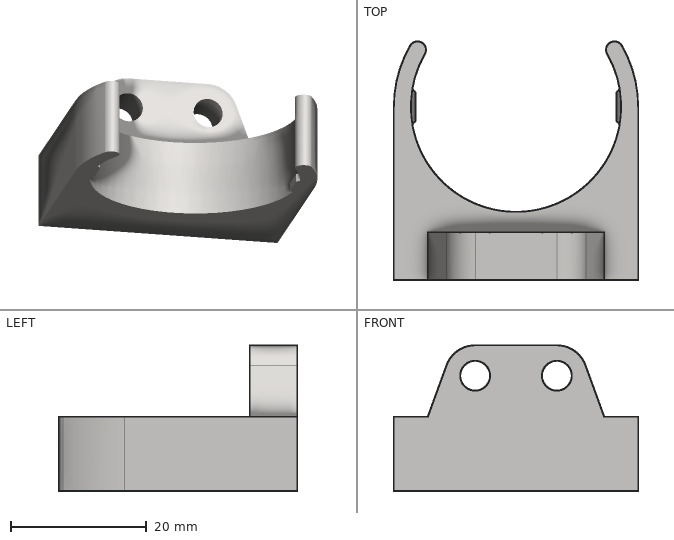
import cadquery as cq
import math

width = 36.0
clip_height = 10.98
outer_radius = width / 2
bore_radius = 15.48
total_depth = 35.15
arm_angle = math.radians(30)
arm_thickness = outer_radius - bore_radius
tip_radius = arm_thickness / 2
tip_path_radius = bore_radius + tip_radius
bore_y = total_depth - tip_radius - tip_path_radius * math.sin(arm_angle)

total_height = 21.5
tab_thickness = 7.02
tab_corner_radius = 4.5
side_lean = math.radians(20)
hole_spacing = 12.02
hole_diameter = 4.35

pad_face_x = 14.75
pad_face_length = 4.18
pad_embed = 0.55
pad_height = 1.2


def polar(radius, angle):
    """Point at a radius and angle about the bore centre."""
    return radius * math.cos(angle), bore_y + radius * math.sin(angle)


def mirrored(point):
    """Point reflected in the plane X = 0."""
    return -point[0], point[1]


def make_clip():
    outer_mid = polar(outer_radius, arm_angle / 2)
    outer_end = polar(outer_radius, arm_angle)
    inner_end = polar(bore_radius, arm_angle)
    tip_x, tip_y = polar(tip_path_radius, arm_angle)
    tip = (tip_x - tip_radius * math.sin(arm_angle), tip_y + tip_radius * math.cos(arm_angle))
    return (
        cq.Workplane("XY")
        .moveTo(-outer_radius, 0)
        .lineTo(outer_radius, 0)
        .lineTo(outer_radius, bore_y)
        .threePointArc(outer_mid, outer_end)
        .threePointArc(tip, inner_end)
        .threePointArc((0, bore_y - bore_radius), mirrored(inner_end))
        .threePointArc(mirrored(tip), mirrored(outer_end))
        .threePointArc(mirrored(outer_mid), (-outer_radius, bore_y))
        .close()
        .extrude(clip_height)
    )


def make_tab():
    corner_x = hole_spacing / 2
    corner_z = total_height - tab_corner_radius

    def corner_point(angle):
        return (
            corner_x + tab_corner_radius * math.cos(angle),
            corner_z + tab_corner_radius * math.sin(angle),
        )

    side_end = corner_point(side_lean)
    corner_mid = corner_point((side_lean + math.pi / 2) / 2)
    top_end = corner_point(math.pi / 2)
    foot_x = side_end[0] + (side_end[1] - clip_height) * math.tan(side_lean)
    tab = (
        cq.Workplane("XZ")
        .moveTo(-foot_x, clip_height)
        .lineTo(foot_x, clip_height)
        .lineTo(*side_end)
        .threePointArc(corner_mid, top_end)
        .lineTo(*mirrored(top_end))
        .threePointArc(mirrored(corner_mid), mirrored(side_end))
        .close()
        .extrude(-tab_thickness)
    )
    holes = (
        cq.Workplane("XZ")
        .pushPoints([(-corner_x, corner_z), (corner_x, corner_z)])
        .circle(hole_diameter / 2)
        .extrude(-tab_thickness)
    )
    return tab.cut(holes)


def make_pad(side):
    root_x = bore_radius + pad_embed
    face_half = pad_face_length / 2
    root_half = face_half + root_x - pad_face_x
    return (
        cq.Workplane("XY")
        .moveTo(side * pad_face_x, bore_y - face_half)
        .lineTo(side * pad_face_x, bore_y + face_half)
        .lineTo(side * root_x, bore_y + root_half)
        .lineTo(side * root_x, bore_y - root_half)
        .close()
        .extrude(pad_height)
    )


result = make_clip().union(make_tab())
for side in (-1, 1):
    result = result.union(make_pad(side))